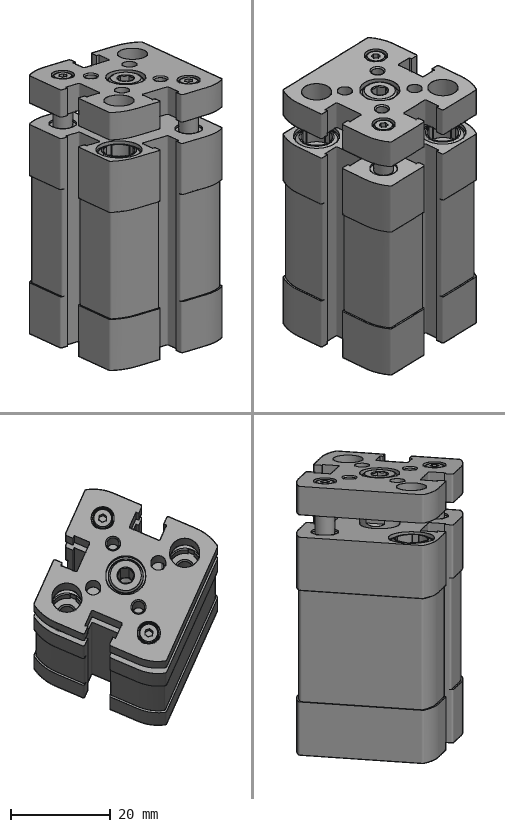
import cadquery as cq
import math

WIDTH = 29.0
HALF = WIDTH / 2
CORNER_START = 9.0
CORNER_RADIUS = 10.0
EDGE_FILLET = 0.5
MOUTH_WIDTH = 5.45
SLOT_WIDTH = 6.7
SLOT_LIP = 1.8
SLOT_DEPTH = 5.25
SLOT_FILLET = 0.3
MOUTH_FILLET = 0.4

TOTAL_HEIGHT = 55.7
PLATE_THICKNESS = 5.9
GAP = 4.6
CAP_HEIGHT = 11.05
BARREL_INSET = 0.4
PLATE_BOTTOM = TOTAL_HEIGHT - PLATE_THICKNESS
HOUSING_TOP = PLATE_BOTTOM - GAP
BARREL_HEIGHT = HOUSING_TOP - 2 * CAP_HEIGHT

OUTER_PITCH = 8.95
INNER_PITCH = 4.95
SCREW_PLACES = [(-OUTER_PITCH, OUTER_PITCH), (OUTER_PITCH, -OUTER_PITCH)]
GUIDE_PLACES = [(OUTER_PITCH, OUTER_PITCH), (-OUTER_PITCH, -OUTER_PITCH)]
PLAIN_HOLE_PLACES = [(-INNER_PITCH, INNER_PITCH), (INNER_PITCH, -INNER_PITCH)]
TAPPED_HOLE_PLACES = [(INNER_PITCH, INNER_PITCH), (-INNER_PITCH, -INNER_PITCH)]

GROOVE_OUTER = 9.2
GROOVE_INNER = 8.5
GROOVE_DEPTH = 0.8
COLLAR_TOP = 7.0
COLLAR_HEIGHT = 0.55
SCREW_ACCESS = 6.0
COUNTERBORE = 6.35
COUNTERBORE_DEPTH = 3.45
NOTCH_WIDTH = 1.35
NOTCH_SPAN = 6.8
SCREW_HOLE = 3.25
SCREW_HOLE_MOUTH = 3.9

ROD_REACH = 22.3
ROD = 8.0
ROD_FLATS = 7.0
FLAT_LENGTH = 3.75
GUIDE = 4.0
GUIDE_SEAT = 5.5
GUIDE_SEAT_DEPTH = 0.4

PLAIN_HOLE = 3.0
TAPPED_HOLE = 2.45
ROD_END = 7.0
ROD_END_CHAMFER = 0.4
ROD_RECESS_DEPTH = 1.1
ROD_END_DROP = 0.15
ROD_HEX = 3.0
ROD_HEX_DEPTH = 8.35
DRILL_TIP_DEPTH = 0.95
GUIDE_RECESS = 4.6
GUIDE_RECESS_DEPTH = 0.85
GUIDE_END_CHAMFER = 0.2
GUIDE_HEX = 1.5
GUIDE_HEX_DEPTH = 1.5
GUIDE_HEX_TURN = 15


def disc(place, z, diameter, height):
    return cq.Workplane("XY", origin=(*place, z)).circle(diameter / 2).extrude(height)


def cone(place, z, bottom, top, height):
    solid = cq.Solid.makeCone(bottom / 2, top / 2, height, pnt=cq.Vector(*place, z))
    return cq.Workplane(solid)


def over_corners(across_flats):
    """Diameter over the corners of a hexagon."""
    return across_flats / math.cos(math.pi / 6)


def hexagon(place, z, across_flats, height, turn=0):
    prism = cq.Workplane("XY").polygon(6, over_corners(across_flats)).extrude(height)
    return prism.rotate((0, 0, 0), (0, 0, 1), turn).translate((*place, z))


def outline(half):
    """Square with curved sides; every size of it shares the same arc centres."""
    radius = CORNER_RADIUS - (HALF - half)
    centre_x = half - radius
    sweep = math.asin((half - CORNER_START) / radius)
    end_x = centre_x + radius * math.cos(sweep)
    mid_x = centre_x + radius * math.cos(sweep / 2)
    mid_y = CORNER_START + radius * math.sin(sweep / 2)
    return (
        cq.Workplane("XY")
        .moveTo(half, -CORNER_START)
        .lineTo(half, CORNER_START)
        .threePointArc((mid_x, mid_y), (end_x, half))
        .lineTo(-end_x, half)
        .threePointArc((-mid_x, mid_y), (-half, CORNER_START))
        .lineTo(-half, -CORNER_START)
        .threePointArc((-mid_x, -mid_y), (-end_x, -half))
        .lineTo(end_x, -half)
        .threePointArc((mid_x, -mid_y), (half, -CORNER_START))
        .close()
    )


def t_slot(half, height):
    """Cutter for the T-slot in the -Y face, with rounded floor corners and flared mouth."""
    mouth = MOUTH_WIDTH / 2
    lip_y = -HALF + SLOT_LIP
    head = (
        cq.Workplane("XY")
        .rect(SLOT_WIDTH, SLOT_DEPTH - SLOT_LIP)
        .extrude(height)
        .translate((0, lip_y + (SLOT_DEPTH - SLOT_LIP) / 2, 0))
        .edges("|Z and >Y")
        .fillet(SLOT_FILLET)
    )
    round_off = MOUTH_FILLET * (1 - math.sqrt(0.5))
    throat = (
        cq.Workplane("XY")
        .moveTo(-mouth, lip_y)
        .lineTo(-mouth, -half + MOUTH_FILLET)
        .threePointArc((-mouth - round_off, -half + round_off), (-mouth - MOUTH_FILLET, -half))
        .lineTo(mouth + MOUTH_FILLET, -half)
        .threePointArc((mouth + round_off, -half + round_off), (mouth, -half + MOUTH_FILLET))
        .lineTo(mouth, lip_y)
        .close()
        .extrude(height)
    )
    return head.union(throat)


def slotted_block(half, z, height):
    """Block with T-slots in its -Y, +X and -X faces."""
    block = outline(half).extrude(height)
    block = block.edges("|Z and (<Y or >Y)").fillet(EDGE_FILLET)
    slot = t_slot(half, height)
    for angle in (-90, 0, 90):
        block = block.cut(slot.rotate((0, 0, 0), (0, 0, 1), angle))
    return block.translate((0, 0, z))


def screw_cut(place):
    """Grooved collar, notched counterbore and through hole of one screw position."""
    groove = disc(place, HOUSING_TOP - GROOVE_DEPTH, GROOVE_OUTER, GROOVE_DEPTH)
    collar = cone(place, HOUSING_TOP - GROOVE_DEPTH, GROOVE_INNER, COLLAR_TOP, COLLAR_HEIGHT)
    floor_z = HOUSING_TOP - COUNTERBORE_DEPTH
    counterbore = disc(place, floor_z, COUNTERBORE, COUNTERBORE_DEPTH)
    for size in ((NOTCH_SPAN, NOTCH_WIDTH), (NOTCH_WIDTH, NOTCH_SPAN)):
        notches = cq.Workplane("XY", origin=(*place, floor_z)).rect(*size).extrude(COUNTERBORE_DEPTH)
        counterbore = counterbore.union(notches)
    chamfer = (SCREW_HOLE_MOUTH - SCREW_HOLE) / 2
    hole = disc(place, 0, SCREW_HOLE, floor_z)
    mouth = cone(place, floor_z - chamfer, SCREW_HOLE, SCREW_HOLE_MOUTH, chamfer)
    return groove.cut(collar).union(counterbore).union(hole).union(mouth)


def make_housing():
    body = slotted_block(HALF, 0, CAP_HEIGHT)
    body = body.union(slotted_block(HALF - BARREL_INSET, CAP_HEIGHT, BARREL_HEIGHT))
    body = body.union(slotted_block(HALF, HOUSING_TOP - CAP_HEIGHT, CAP_HEIGHT))
    for place in SCREW_PLACES:
        body = body.cut(screw_cut(place))
    for place in GUIDE_PLACES:
        body = body.cut(disc(place, HOUSING_TOP - ROD_REACH, GUIDE, ROD_REACH))
        body = body.cut(disc(place, HOUSING_TOP - GUIDE_SEAT_DEPTH, GUIDE_SEAT, GUIDE_SEAT_DEPTH))
    return body.cut(disc((0, 0), HOUSING_TOP - ROD_REACH, ROD, ROD_REACH))


def chamfered_rod(place, z, diameter, top_z, chamfer):
    return disc(place, z, diameter, top_z - z).faces(">Z").chamfer(chamfer)


def make_plate():
    plate = slotted_block(HALF, PLATE_BOTTOM, PLATE_THICKNESS)
    for place in SCREW_PLACES:
        plate = plate.cut(disc(place, PLATE_BOTTOM, SCREW_ACCESS, PLATE_THICKNESS))
    for place in PLAIN_HOLE_PLACES:
        plate = plate.cut(disc(place, PLATE_BOTTOM, PLAIN_HOLE, PLATE_THICKNESS))
    chamfer = (PLAIN_HOLE - TAPPED_HOLE) / 2
    for place in TAPPED_HOLE_PLACES:
        plate = plate.cut(disc(place, PLATE_BOTTOM, TAPPED_HOLE, PLATE_THICKNESS))
        plate = plate.cut(cone(place, TOTAL_HEIGHT - chamfer, TAPPED_HOLE, PLAIN_HOLE, chamfer))
    for place in GUIDE_PLACES:
        recess_z = TOTAL_HEIGHT - GUIDE_RECESS_DEPTH
        plate = plate.cut(disc(place, recess_z, GUIDE_RECESS, GUIDE_RECESS_DEPTH))
    return plate.cut(disc((0, 0), TOTAL_HEIGHT - ROD_RECESS_DEPTH, ROD, ROD_RECESS_DEPTH))


def make_piston_rod():
    """Round rod with two wrench flats whose lower ends slope out at 45 degrees."""
    rod = disc((0, 0), HOUSING_TOP - ROD_REACH, ROD, ROD_REACH + GAP)
    flat_y = ROD_FLATS / 2
    flat_bottom = PLATE_BOTTOM - FLAT_LENGTH
    outside = ROD / 2
    flat = (
        cq.Workplane("YZ")
        .moveTo(flat_y, PLATE_BOTTOM)
        .lineTo(flat_y, flat_bottom)
        .lineTo(outside, flat_bottom - (outside - flat_y))
        .lineTo(outside, PLATE_BOTTOM)
        .close()
        .extrude(ROD / 2, both=True)
    )
    return rod.cut(flat).cut(flat.mirror("XZ"))


def rod_socket(end_z):
    """Hexagon socket with a round chamfered mouth and a conical bottom."""
    floor_z = end_z - ROD_HEX_DEPTH
    mouth_diameter = over_corners(ROD_HEX)
    chamfer = (mouth_diameter - ROD_HEX) / 2
    socket = hexagon((0, 0), floor_z, ROD_HEX, ROD_HEX_DEPTH)
    mouth = cone((0, 0), end_z - chamfer, ROD_HEX, mouth_diameter, chamfer)
    tip = cone((0, 0), floor_z - DRILL_TIP_DEPTH, 0, ROD_HEX, DRILL_TIP_DEPTH)
    return socket.union(mouth).union(tip)


def make_yoke():
    end_z = TOTAL_HEIGHT - ROD_END_DROP
    body = make_plate().union(make_piston_rod())
    body = body.union(chamfered_rod((0, 0), PLATE_BOTTOM, ROD_END, end_z, ROD_END_CHAMFER))
    body = body.cut(rod_socket(end_z))
    rod_bottom = HOUSING_TOP - ROD_REACH
    socket_z = end_z - GUIDE_HEX_DEPTH
    for place in GUIDE_PLACES:
        body = body.union(chamfered_rod(place, rod_bottom, GUIDE, end_z, GUIDE_END_CHAMFER))
        body = body.cut(hexagon(place, socket_z, GUIDE_HEX, GUIDE_HEX_DEPTH, GUIDE_HEX_TURN))
    return body


housing = make_housing()
yoke = make_yoke()
result = cq.Compound.makeCompound([housing.solids().val(), yoke.solids().val()])